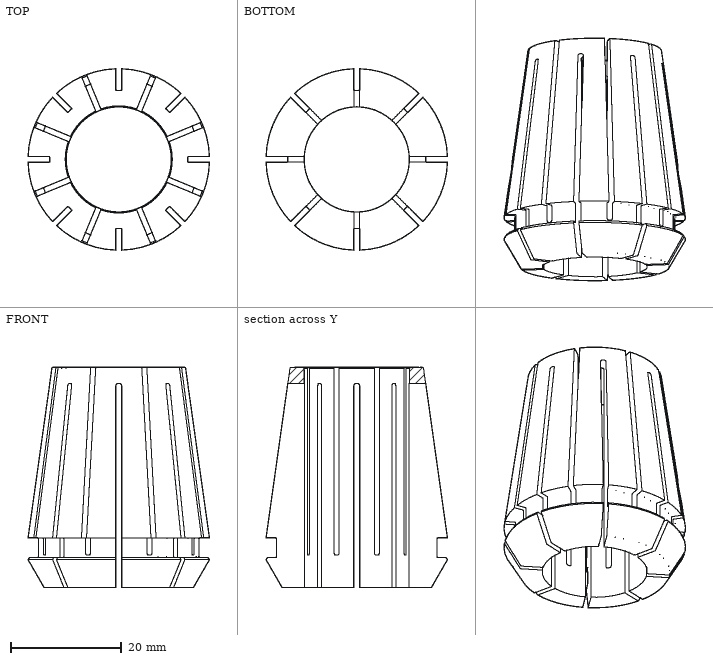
import cadquery as cq
import math

height = 40
nose_height = 5.1
flange_top = 5.5
cone_base = 9.05

outer_radius = 16.5
groove_radius = 14.6
bore_radius = 19.05 / 2
cone_angle = 8
nose_angle = 30
top_radius = outer_radius - (height - cone_base) * math.tan(math.radians(cone_angle))
bottom_radius = outer_radius - nose_height * math.tan(math.radians(nose_angle))

flange_chamfer_width = 0.3
rim_fillet = 0.3
nose_fillet = 0.15
groove_fillet = 0.15
bore_chamfer = 0.2

slots_per_set = 8
slot_width = 1.0
slot_corner_radius = 0.4
lower_slot_end = 37.05
upper_slot_end = 5.9
slot_pitch = 360 / slots_per_set


def turned_body():
    """Hollow collet: nose cone, extractor groove and long clamping cone."""
    profile = [
        (bore_radius, 0),
        (bottom_radius, 0),
        (outer_radius, nose_height),
        (outer_radius - flange_chamfer_width, flange_top),
        (groove_radius, flange_top),
        (groove_radius, cone_base),
        (outer_radius, cone_base),
        (top_radius, height),
        (bore_radius, height),
    ]
    body = cq.Workplane("XZ").polyline(profile).close().revolve(360, (0, 0), (0, 1))
    smallest_ring = cq.selectors.RadiusNthSelector(0)
    largest_ring = cq.selectors.RadiusNthSelector(-1)
    body = body.faces(">Z").edges(smallest_ring).chamfer(bore_chamfer)
    body = body.faces(">Z").edges(largest_ring).fillet(rim_fillet)
    body = body.faces("<Z").edges(largest_ring).fillet(nose_fillet)

    groove_wall = body.faces("%CYLINDER").faces(cq.selectors.AreaNthSelector(0))
    return groove_wall.edges("%CIRCLE").fillet(groove_fillet)


def radial_slot(open_end, closed_end, angle):
    """Slot cutter through one wall, with rounded corners at its closed end."""
    closed_face = ">Z" if closed_end > open_end else "<Z"
    cutter = (
        cq.Workplane("XY")
        .box(outer_radius, slot_width, abs(closed_end - open_end), centered=(False, True, False))
        .translate((0, 0, min(open_end, closed_end)))
        .faces(closed_face)
        .edges("|X")
        .fillet(slot_corner_radius)
    )
    return cutter.rotate((0, 0, 0), (0, 0, 1), angle)


result = turned_body()
for index in range(slots_per_set):
    lower_angle = index * slot_pitch
    upper_angle = lower_angle + slot_pitch / 2
    result = result.cut(radial_slot(0, lower_slot_end, lower_angle))
    result = result.cut(radial_slot(height, upper_slot_end, upper_angle))